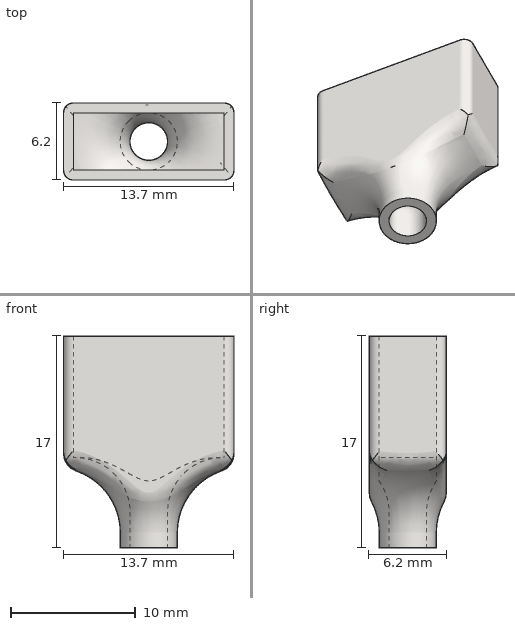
import cadquery as cq

body_length = 13.7
body_width = 6.2
total_height = 17.0
wall = 0.8
corner_radius = wall

bore_radius = 1.5
neck_radius = bore_radius + wall
neck_height = 1.23

outer_flare_radius = 5.22
inner_flare_radius = 4.4
shoulder_fillet = 1.5

shoulder_z = neck_height + outer_flare_radius
floor_z = shoulder_z + wall
cavity_length = body_length - 2 * wall
cavity_width = body_width - 2 * wall
funnel_rim_radius = body_length


def funnel(throat_radius, flare_radius, flare_start_z):
    """Trumpet about Z: straight throat, quarter-round flare, then a wide cylinder to the top."""
    flare_end_radius = throat_radius + flare_radius
    flare_end_z = flare_start_z + flare_radius
    diagonal = flare_radius * 0.5 ** 0.5
    flare_middle = (flare_end_radius - diagonal, flare_start_z + diagonal)
    return (
        cq.Workplane("XZ")
        .lineTo(throat_radius, 0)
        .lineTo(throat_radius, flare_start_z)
        .threePointArc(flare_middle, (flare_end_radius, flare_end_z))
        .lineTo(funnel_rim_radius, flare_end_z)
        .lineTo(funnel_rim_radius, total_height)
        .lineTo(0, total_height)
        .close()
        .revolve(360, (0, 0, 0), (0, 1, 0))
    )


def outer_body():
    """Box with its underside hollowed to the flare, the shoulder rounded over, then the corners rounded."""
    box = cq.Workplane("XY").rect(body_length, body_width).extrude(total_height)
    blank = box.intersect(funnel(neck_radius, outer_flare_radius, neck_height))
    shoulder_edges = blank.faces("<X or >X or <Y or >Y").edges("not(|Z or |X or |Y)")
    rounded = shoulder_edges.fillet(shoulder_fillet)
    corner_trim = box.edges("|Z").fillet(corner_radius)
    return rounded.intersect(corner_trim)


def cavity():
    """Square-cornered mouth that funnels into the round bore."""
    box = cq.Workplane("XY").rect(cavity_length, cavity_width).extrude(total_height)
    return box.intersect(funnel(bore_radius, inner_flare_radius, floor_z - inner_flare_radius))


result = outer_body().cut(cavity())